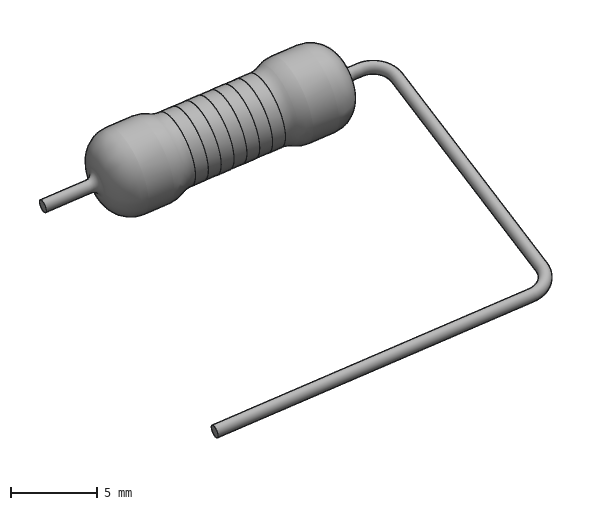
import cadquery as cq

BODY_RADIUS = 5.5 / 2
WAIST_RADIUS = 4.68 / 2
STRIPE_RADIUS = 4.7 / 2
LEAD_RADIUS = 0.8 / 2

STRIPE_COUNT = 4
STRIPE_WIDTH = 0.85
WAIST_HALF = (2 * STRIPE_COUNT - 1) * STRIPE_WIDTH / 2
CENTRE_HALF = STRIPE_WIDTH / 2
BAND_INNER = 4.63
BAND_OUTER = 6.35
CAP_END = 8.25
NECK_RADIUS = 0.55

OUTER_WIDTH = 23.15
OUTER_DEPTH = 23.1
LEAD_TIP_Y = -11.83
BEND_RADIUS = 1.6
LEAD_SPACING = OUTER_WIDTH - BODY_RADIUS - LEAD_RADIUS
CROSS_Y = LEAD_TIP_Y + OUTER_DEPTH - LEAD_RADIUS


def half_body():
    """Revolved +Y half beyond the central gap: waist, S-shaped flare, band, domed cap and neck."""
    flare_mid = ((WAIST_RADIUS + BODY_RADIUS) / 2, (WAIST_HALF + BAND_INNER) / 2)
    neck_end = CAP_END + NECK_RADIUS
    return (
        cq.Workplane("XY")
        .moveTo(0, CENTRE_HALF)
        .lineTo(WAIST_RADIUS, CENTRE_HALF)
        .lineTo(WAIST_RADIUS, WAIST_HALF)
        .tangentArcPoint(flare_mid, relative=False)
        .tangentArcPoint((BODY_RADIUS, BAND_INNER), relative=False)
        .lineTo(BODY_RADIUS, BAND_OUTER)
        .tangentArcPoint((LEAD_RADIUS + NECK_RADIUS, CAP_END), relative=False)
        .radiusArc((LEAD_RADIUS, neck_end), NECK_RADIUS)
        .lineTo(0, neck_end)
        .close()
        .revolve(360, (0, 0, 0), (0, 1, 0))
    )


def rod_along_y(radius, start, end):
    """Cylinder on the body axis between two Y positions."""
    return cq.Workplane("XZ", origin=(0, start, 0)).circle(radius).extrude(start - end)


def folded_lead():
    """Wire from the body centre, across in X and back down to the tip."""
    bend_y = CROSS_Y - BEND_RADIUS
    path = (
        cq.Workplane("XY")
        .lineTo(0, bend_y)
        .tangentArcPoint((BEND_RADIUS, CROSS_Y), relative=False)
        .lineTo(LEAD_SPACING - BEND_RADIUS, CROSS_Y)
        .tangentArcPoint((LEAD_SPACING, bend_y), relative=False)
        .lineTo(LEAD_SPACING, LEAD_TIP_Y)
    )
    return cq.Workplane("XZ").circle(LEAD_RADIUS).sweep(path)


upper_half = half_body()
waist_centre = rod_along_y(WAIST_RADIUS, -CENTRE_HALF, CENTRE_HALF)
result = waist_centre.union(upper_half).union(upper_half.mirror("XZ"))

for index in range(STRIPE_COUNT):
    stripe_start = -WAIST_HALF + 2 * index * STRIPE_WIDTH
    result = result.union(rod_along_y(STRIPE_RADIUS, stripe_start, stripe_start + STRIPE_WIDTH))

result = result.union(rod_along_y(LEAD_RADIUS, LEAD_TIP_Y, 0)).union(folded_lead())